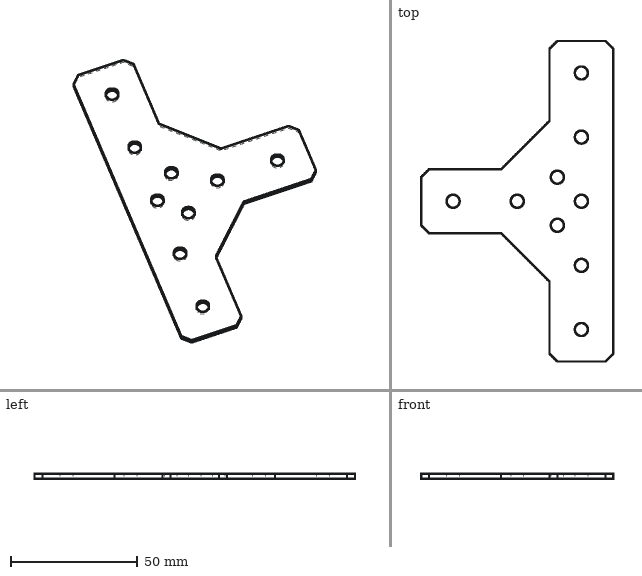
import cadquery as cq

bar_length = 127.0
plate_width = 76.2
arm_width = 25.4
thickness = 2.0
corner_chamfer = 3.2
gusset_leg = 19.0
hole_pitch = 25.4
hole_diameter = 5.1
diagonal_hole_offset = 9.5

bar_right = arm_width / 2
bar_left = -arm_width / 2
stem_end = bar_right - plate_width
stem_half = arm_width / 2


def arm_block(x_min, x_max, length_y):
    """Rectangular arm centred on the X axis."""
    return cq.Workplane("XY").box(
        x_max - x_min, length_y, thickness, centered=(False, True, False)
    ).translate((x_min, 0, 0))


def make_bar():
    """Long bar with all four corners chamfered."""
    return arm_block(bar_left, bar_right, bar_length).edges("|Z").chamfer(corner_chamfer)


def make_stem():
    """Stem with its two free corners chamfered, ending on the bar centre line."""
    stem = arm_block(stem_end, 0, arm_width)
    return stem.faces("<X").edges("|Z").chamfer(corner_chamfer)


def make_gusset(side):
    """Triangular web in the inner corner; side is +1 or -1 along Y."""
    corner_y = side * stem_half
    return (
        cq.Workplane("XY")
        .moveTo(bar_left, corner_y)
        .lineTo(bar_left - gusset_leg, corner_y)
        .lineTo(bar_left, corner_y + side * gusset_leg)
        .close()
        .extrude(thickness)
    )


bar_holes = [(0, step * hole_pitch) for step in range(-2, 3)]
stem_holes = [(-step * hole_pitch, 0) for step in (1, 2)]
diagonal_holes = [(-diagonal_hole_offset, side * diagonal_hole_offset) for side in (-1, 1)]

plate = make_bar().union(make_stem())
for side in (-1, 1):
    plate = plate.union(make_gusset(side))

holes = (
    cq.Workplane("XY")
    .pushPoints(bar_holes + stem_holes + diagonal_holes)
    .circle(hole_diameter / 2)
    .extrude(thickness)
)

result = plate.cut(holes).clean()